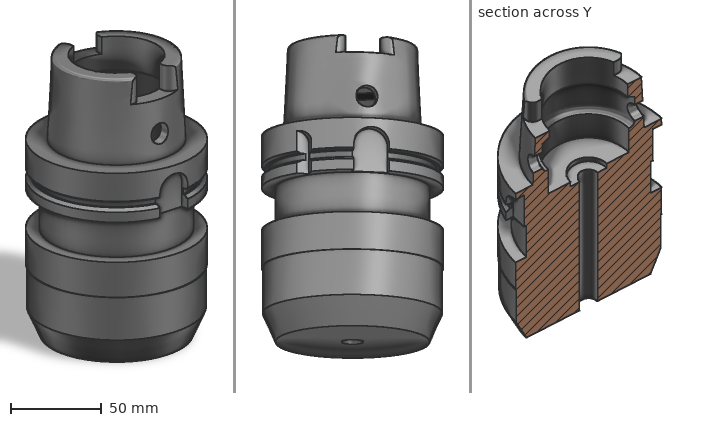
import cadquery as cq
import math

TOTAL_HEIGHT = 165.5
TAPER_LENGTH = 50.0
FLANGE_TOP = TOTAL_HEIGHT - TAPER_LENGTH
FLANGE_BOTTOM = 86.4
BODY_SHOULDER = 62.5
COLLAR_BOTTOM = 41.5
NOSE_START = 16.0

FLANGE_RADIUS = 50.0
NECK_RADIUS = 42.5
NUT_RADIUS = 49.5
NOSE_RADIUS = 42.4
TAPER_BASE_DIAMETER = 76.3
TAPER_BASE_RADIUS = TAPER_BASE_DIAMETER / 2
TAPER_SLOPE = 0.05
TAPER_TOP_RADIUS = TAPER_BASE_RADIUS - TAPER_SLOPE * TAPER_LENGTH
TAPER_TOP_FILLET = 2.0

GROOVE_UPPER_RIM = 98.8
GROOVE_UPPER_WALL = 97.6
GROOVE_LOWER_WALL = 94.0
GROOVE_LOWER_RIM = 92.3
GROOVE_RADIUS = 46.2
GROOVE_FLARE_SLOPE = 1.6

MOUTH_RADIUS = 26.5
MOUTH_DEPTH = 20.0
CHAMBER_RADIUS = 31.5
LOWER_BORE_RADIUS = 27.5
CHAMBER_STRAIGHT_END = 40.5
CHAMBER_FLARE = 2.8
BORE_DEPTH = 62.9
COUNTERBORE_RADIUS = 12.2
COUNTERBORE_DEPTH = 3.3
HOLE_DIAMETER = 12.0
HOLE_RADIUS = HOLE_DIAMETER / 2
CROSS_HOLE_DEPTH = 35.1

SLOT_WIDTH = 20.0
SHALLOW_SLOT_DEPTH = 10.1
DEEP_SLOT_DEPTH = 15.0
SLOT_LIP_SPAN = 64.4
SLOT_LIP_X = SLOT_LIP_SPAN / 2
SLOT_LIP_RADIUS = 5.0

KEYWAY_WIDTH = 20.0
KEYWAY_FLOOR_X = 44.0
KEYWAY_TOP = 110.5
NOTCH_FLOOR_X = 32.0
NOTCH_INNER_Y = 31.6
NOTCH_WIDTH = 14.2
NOTCH_TOP = 110.2

CLEARANCE = 8.3
CUT_REACH = FLANGE_RADIUS + CLEARANCE


def turned_body():
    upper_lip_radius = FLANGE_RADIUS - GROOVE_FLARE_SLOPE * (GROOVE_UPPER_RIM - GROOVE_UPPER_WALL)
    lower_lip_radius = FLANGE_RADIUS - GROOVE_FLARE_SLOPE * (GROOVE_LOWER_WALL - GROOVE_LOWER_RIM)
    outline = [
        (0, 0),
        (NOSE_RADIUS, 0),
        (NUT_RADIUS, NOSE_START),
        (NUT_RADIUS, COLLAR_BOTTOM),
        (FLANGE_RADIUS, COLLAR_BOTTOM),
        (FLANGE_RADIUS, BODY_SHOULDER),
        (NECK_RADIUS, BODY_SHOULDER),
        (NECK_RADIUS, FLANGE_BOTTOM),
        (FLANGE_RADIUS, FLANGE_BOTTOM),
        (FLANGE_RADIUS, GROOVE_LOWER_RIM),
        (lower_lip_radius, GROOVE_LOWER_WALL),
        (GROOVE_RADIUS, GROOVE_LOWER_WALL),
        (GROOVE_RADIUS, GROOVE_UPPER_WALL),
        (upper_lip_radius, GROOVE_UPPER_WALL),
        (FLANGE_RADIUS, GROOVE_UPPER_RIM),
        (FLANGE_RADIUS, FLANGE_TOP),
        (TAPER_BASE_RADIUS, FLANGE_TOP),
        (TAPER_TOP_RADIUS, TOTAL_HEIGHT),
        (0, TOTAL_HEIGHT),
    ]
    body = cq.Workplane("XZ").polyline(outline).close().revolve(360, (0, 0), (0, 1))
    return body.faces(">Z").edges().fillet(TAPER_TOP_FILLET)


def bore():
    """Stepped cavity: mouth, wider chamber, rounded step to the lower bore, through hole."""
    mouth_end = TOTAL_HEIGHT - MOUTH_DEPTH
    curve_start = TOTAL_HEIGHT - CHAMBER_STRAIGHT_END
    floor = TOTAL_HEIGHT - BORE_DEPTH
    counterbore_floor = floor - COUNTERBORE_DEPTH
    curve_radius = CHAMBER_RADIUS - LOWER_BORE_RADIUS
    curve_offset = curve_radius * math.sqrt(0.5)
    outline = (
        cq.Workplane("XZ")
        .moveTo(0, 0)
        .lineTo(HOLE_RADIUS, 0)
        .lineTo(HOLE_RADIUS, counterbore_floor)
        .lineTo(COUNTERBORE_RADIUS, counterbore_floor)
        .lineTo(COUNTERBORE_RADIUS, floor)
        .lineTo(LOWER_BORE_RADIUS, floor)
        .lineTo(LOWER_BORE_RADIUS, curve_start - curve_radius)
        .threePointArc(
            (LOWER_BORE_RADIUS + curve_offset, curve_start - curve_offset),
            (CHAMBER_RADIUS, curve_start),
        )
        .lineTo(CHAMBER_RADIUS, mouth_end - CHAMBER_FLARE)
        .lineTo(MOUTH_RADIUS, mouth_end)
        .lineTo(MOUTH_RADIUS, TOTAL_HEIGHT)
        .lineTo(0, TOTAL_HEIGHT)
        .close()
    )
    return outline.revolve(360, (0, 0), (0, 1))


def cross_hole():
    return (
        cq.Workplane("YZ")
        .center(0, TOTAL_HEIGHT - CROSS_HOLE_DEPTH)
        .circle(HOLE_RADIUS)
        .extrude(CUT_REACH, both=True)
    )


def drive_slot(side, depth):
    """Slot through the rim on one side (+1 or -1 along X), flaring at the outer wall."""
    half = SLOT_WIDTH / 2
    lip_x = side * SLOT_LIP_X
    round_start_x = side * (SLOT_LIP_X - SLOT_LIP_RADIUS)
    flare = half + SLOT_LIP_RADIUS
    arc_offset = SLOT_LIP_RADIUS * math.sqrt(0.5)
    arc_x = round_start_x + side * arc_offset
    arc_y = flare - arc_offset
    end_x = side * CUT_REACH
    return (
        cq.Workplane("XY", origin=(0, 0, TOTAL_HEIGHT - depth))
        .moveTo(0, -half)
        .lineTo(round_start_x, -half)
        .threePointArc((arc_x, -arc_y), (lip_x, -flare))
        .lineTo(lip_x, -CUT_REACH)
        .lineTo(end_x, -CUT_REACH)
        .lineTo(end_x, CUT_REACH)
        .lineTo(lip_x, CUT_REACH)
        .lineTo(lip_x, flare)
        .threePointArc((arc_x, arc_y), (round_start_x, half))
        .lineTo(0, half)
        .close()
        .extrude(depth)
    )


def arched_slot(side, floor_x, center_y, width, top):
    """Round-topped slot open at the flange bottom, cut along X from outside to floor_x."""
    half = width / 2
    return (
        cq.Workplane("YZ", origin=(side * floor_x, center_y, 0))
        .moveTo(-half, FLANGE_BOTTOM)
        .lineTo(-half, top - half)
        .threePointArc((0, top), (half, top - half))
        .lineTo(half, FLANGE_BOTTOM)
        .close()
        .extrude(side * (CUT_REACH - floor_x))
    )


result = turned_body().cut(bore()).cut(cross_hole())
result = result.cut(drive_slot(-1, SHALLOW_SLOT_DEPTH)).cut(drive_slot(1, DEEP_SLOT_DEPTH))
for side in (-1, 1):
    result = result.cut(arched_slot(side, KEYWAY_FLOOR_X, 0, KEYWAY_WIDTH, KEYWAY_TOP))
notch_center_y = NOTCH_INNER_Y + NOTCH_WIDTH / 2
result = result.cut(arched_slot(-1, NOTCH_FLOOR_X, notch_center_y, NOTCH_WIDTH, NOTCH_TOP))